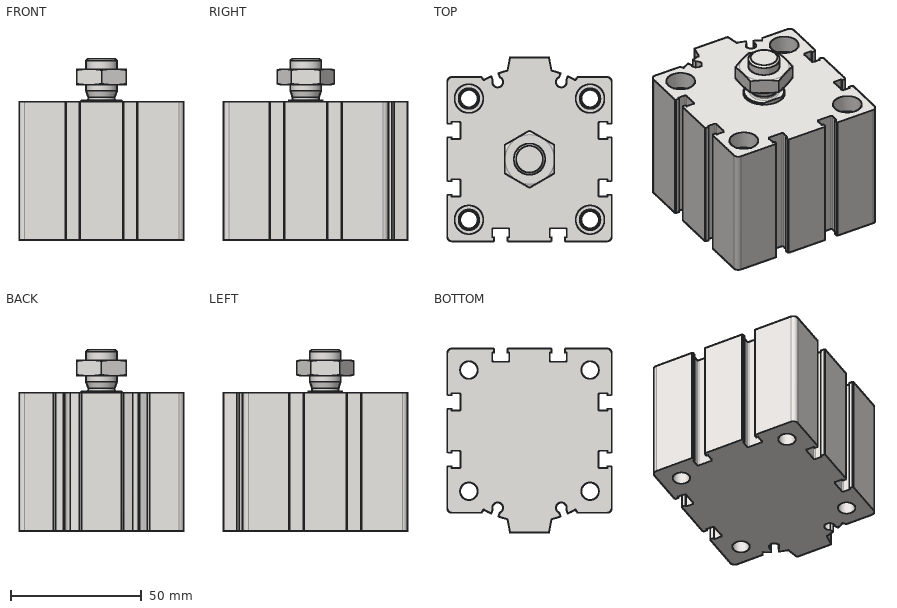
import cadquery as cq
import math


BODY_SIDE = 63.0
BODY_DEPTH_WITH_RAIL = 70.5
BODY_HEIGHT = 53.0
CORNER_RADIUS = 2.0
HALF_SIDE = BODY_SIDE / 2

RAIL_TOP_Y = BODY_DEPTH_WITH_RAIL - HALF_SIDE
RAIL_TOP_WIDTH = 14.95
RAIL_ROOT_WIDTH = 16.9
SHOULDER_RADIUS = 35.0
NOTCH_TOP_X = 18.4
NOTCH_BOTTOM_X = 17.55

GROOVE_ANGLE = 22.4
GROOVE_CENTRE_RADIUS = 31.95
GROOVE_DIAMETER = 4.0
GROOVE_MOUTH_WIDTH = 2.9

SLOT_OFFSET = 11.0
SLOT_MOUTH_WIDTH = 5.1
SLOT_MOUTH_CHAMFER = 0.35
SLOT_CAVITY_WIDTH = 6.5
SLOT_LIP = 1.7
SLOT_DEPTH = 5.1
SLOT_CORNER_RADIUS = 0.4

HOLE_OFFSET = 23.2
HOLE_DIAMETER = 6.6
COUNTERSINK_DIAMETER = 8.0
COUNTERBORE_DIAMETER = 11.0
COUNTERBORE_DEPTH = 7.0

ROD_DIAMETER = 16.0
ROD_INSERTION = BODY_HEIGHT / 2
ROD_PROTRUSION = 0.5
ROD_CHAMFER = 0.4
ROD_FLAT_WIDTH = 13.0
ROD_FLAT_LENGTH = 5.0
THREAD_DIAMETER = 12.0
THREAD_TOP_Z = 69.5
THREAD_START_Z = 57.25
NECK_DIAMETER = 10.2
NECK_TOP_Z = 54.7
NECK_ROOT_RADIUS = 0.5
THREAD_CHAMFER_HEIGHT = 0.8
THREAD_END_DIAMETER = 10.2

NUT_ACROSS_FLATS = 18.95
NUT_HEIGHT = 6.0
NUT_BOTTOM_Z = 59.5
NUT_CHAMFER_ANGLE = 15


def on_shoulder(x):
    """Point of the shoulder circle at the given X, on the +Y side."""
    return (x, math.sqrt(SHOULDER_RADIUS**2 - x**2))


def housing_block():
    """Square block with a raised rail flanked by circular shoulders at the +Y side."""
    rail_top = RAIL_TOP_WIDTH / 2
    rail_root = RAIL_ROOT_WIDTH / 2
    shoulder_middle = (rail_root + NOTCH_BOTTOM_X) / 2
    return (
        cq.Workplane("XY")
        .moveTo(-HALF_SIDE, -HALF_SIDE)
        .lineTo(HALF_SIDE, -HALF_SIDE)
        .lineTo(HALF_SIDE, HALF_SIDE)
        .lineTo(NOTCH_TOP_X, HALF_SIDE)
        .lineTo(*on_shoulder(NOTCH_BOTTOM_X))
        .threePointArc(on_shoulder(shoulder_middle), on_shoulder(rail_root))
        .lineTo(rail_top, RAIL_TOP_Y)
        .lineTo(-rail_top, RAIL_TOP_Y)
        .lineTo(*on_shoulder(-rail_root))
        .threePointArc(on_shoulder(-shoulder_middle), on_shoulder(-NOTCH_BOTTOM_X))
        .lineTo(-NOTCH_TOP_X, HALF_SIDE)
        .lineTo(-HALF_SIDE, HALF_SIDE)
        .close()
        .extrude(BODY_HEIGHT)
        .edges("|Z and (<X or >X)")
        .fillet(CORNER_RADIUS)
    )


def t_slot(side_angle, offset):
    """T-slot cutter, drawn on the -Y side and turned about Z to its own side."""
    mouth = SLOT_MOUTH_WIDTH / 2
    flare = mouth + SLOT_MOUTH_CHAMFER
    cavity_length = SLOT_DEPTH - SLOT_LIP
    cavity = (
        cq.Workplane("XY")
        .center(offset, -HALF_SIDE + SLOT_LIP + cavity_length / 2)
        .rect(SLOT_CAVITY_WIDTH, cavity_length)
        .extrude(BODY_HEIGHT)
        .edges("|Z and >Y")
        .fillet(SLOT_CORNER_RADIUS)
    )
    opening = (
        cq.Workplane("XY")
        .center(offset, -HALF_SIDE)
        .moveTo(-flare, 0)
        .lineTo(-mouth, SLOT_MOUTH_CHAMFER)
        .lineTo(-mouth, SLOT_LIP)
        .lineTo(mouth, SLOT_LIP)
        .lineTo(mouth, SLOT_MOUTH_CHAMFER)
        .lineTo(flare, 0)
        .close()
        .extrude(BODY_HEIGHT)
    )
    return cavity.union(opening).rotate((0, 0, 0), (0, 0, 1), side_angle)


def sensor_groove(angle):
    """Round-bottomed groove cutter that opens radially, turned from +Y by the angle."""
    bottom = (
        cq.Workplane("XY")
        .center(0, GROOVE_CENTRE_RADIUS)
        .circle(GROOVE_DIAMETER / 2)
        .extrude(BODY_HEIGHT)
    )
    mouth = (
        cq.Workplane("XY")
        .center(0, GROOVE_CENTRE_RADIUS + GROOVE_DIAMETER)
        .rect(GROOVE_MOUTH_WIDTH, 2 * GROOVE_DIAMETER)
        .extrude(BODY_HEIGHT)
    )
    return bottom.union(mouth).rotate((0, 0, 0), (0, 0, 1), angle)


def mounting_hole():
    """Cutter for a through hole, countersunk at the floor of its counterbore."""
    hole_radius = HOLE_DIAMETER / 2
    countersink_radius = COUNTERSINK_DIAMETER / 2
    counterbore_radius = COUNTERBORE_DIAMETER / 2
    counterbore_z = BODY_HEIGHT - COUNTERBORE_DEPTH
    countersink_depth = countersink_radius - hole_radius
    return (
        cq.Workplane("XZ")
        .polyline(
            [
                (0, 0),
                (hole_radius, 0),
                (hole_radius, counterbore_z - countersink_depth),
                (countersink_radius, counterbore_z),
                (counterbore_radius, counterbore_z),
                (counterbore_radius, BODY_HEIGHT),
                (0, BODY_HEIGHT),
            ]
        )
        .close()
        .revolve(360, (0, 0, 0), (0, 1, 0))
    )


def make_housing():
    """Housing block with its T-slots, sensor grooves, mounting holes and rod bore."""
    body = housing_block()
    for side_angle in (-90, 0, 90):
        for offset in (-SLOT_OFFSET, SLOT_OFFSET):
            body = body.cut(t_slot(side_angle, offset))
    for angle in (-GROOVE_ANGLE, GROOVE_ANGLE):
        body = body.cut(sensor_groove(angle))

    for x in (-HOLE_OFFSET, HOLE_OFFSET):
        for y in (-HOLE_OFFSET, HOLE_OFFSET):
            body = body.cut(mounting_hole().translate((x, y, 0)))

    bore = (
        cq.Workplane("XY", origin=(0, 0, BODY_HEIGHT))
        .circle(ROD_DIAMETER / 2)
        .extrude(-ROD_INSERTION)
    )
    return body.cut(bore)


def make_rod():
    """Turned rod with a threaded end, a relief neck and two wrench flats."""
    rod_radius = ROD_DIAMETER / 2
    neck_radius = NECK_DIAMETER / 2
    thread_radius = THREAD_DIAMETER / 2
    shoulder_z = BODY_HEIGHT + ROD_PROTRUSION
    bottom_z = BODY_HEIGHT - ROD_INSERTION
    root_x = neck_radius + NECK_ROOT_RADIUS
    root_z = shoulder_z + NECK_ROOT_RADIUS
    rod = (
        cq.Workplane("XZ")
        .moveTo(0, bottom_z)
        .lineTo(rod_radius, bottom_z)
        .lineTo(rod_radius, shoulder_z - ROD_CHAMFER)
        .lineTo(rod_radius - ROD_CHAMFER, shoulder_z)
        .lineTo(root_x, shoulder_z)
        .radiusArc((neck_radius, root_z), NECK_ROOT_RADIUS)
        .lineTo(neck_radius, NECK_TOP_Z)
        .lineTo(thread_radius, THREAD_START_Z)
        .lineTo(thread_radius, THREAD_TOP_Z - THREAD_CHAMFER_HEIGHT)
        .lineTo(THREAD_END_DIAMETER / 2, THREAD_TOP_Z)
        .lineTo(0, THREAD_TOP_Z)
        .close()
        .revolve(360, (0, 0, 0), (0, 1, 0))
    )
    for side in (-1, 1):
        flat = (
            cq.Workplane("XY", origin=(0, side * (ROD_FLAT_WIDTH + ROD_DIAMETER) / 2, shoulder_z))
            .rect(ROD_DIAMETER, ROD_DIAMETER)
            .extrude(-ROD_FLAT_LENGTH)
        )
        rod = rod.cut(flat)
    return rod


def make_nut():
    """Hexagonal nut with two flats facing +X and -X and both faces chamfered."""
    corner_radius = NUT_ACROSS_FLATS / math.sqrt(3)
    face_radius = NUT_ACROSS_FLATS / 2
    bore_radius = THREAD_DIAMETER / 2
    chamfer_height = (corner_radius - face_radius) * math.tan(math.radians(NUT_CHAMFER_ANGLE))
    hexagon = (
        cq.Workplane("XY")
        .polygon(6, 2 * corner_radius)
        .extrude(NUT_HEIGHT)
        .rotate((0, 0, 0), (0, 0, 1), 30)
    )
    chamfered_disc = (
        cq.Workplane("XZ")
        .polyline(
            [
                (bore_radius, 0),
                (face_radius, 0),
                (corner_radius, chamfer_height),
                (corner_radius, NUT_HEIGHT - chamfer_height),
                (face_radius, NUT_HEIGHT),
                (bore_radius, NUT_HEIGHT),
            ]
        )
        .close()
        .revolve(360, (0, 0, 0), (0, 1, 0))
    )
    return hexagon.intersect(chamfered_disc).translate((0, 0, NUT_BOTTOM_Z))


housing = make_housing()
rod = make_rod()
nut = make_nut()

result = cq.Compound.makeCompound([housing.val(), rod.val(), nut.val()])